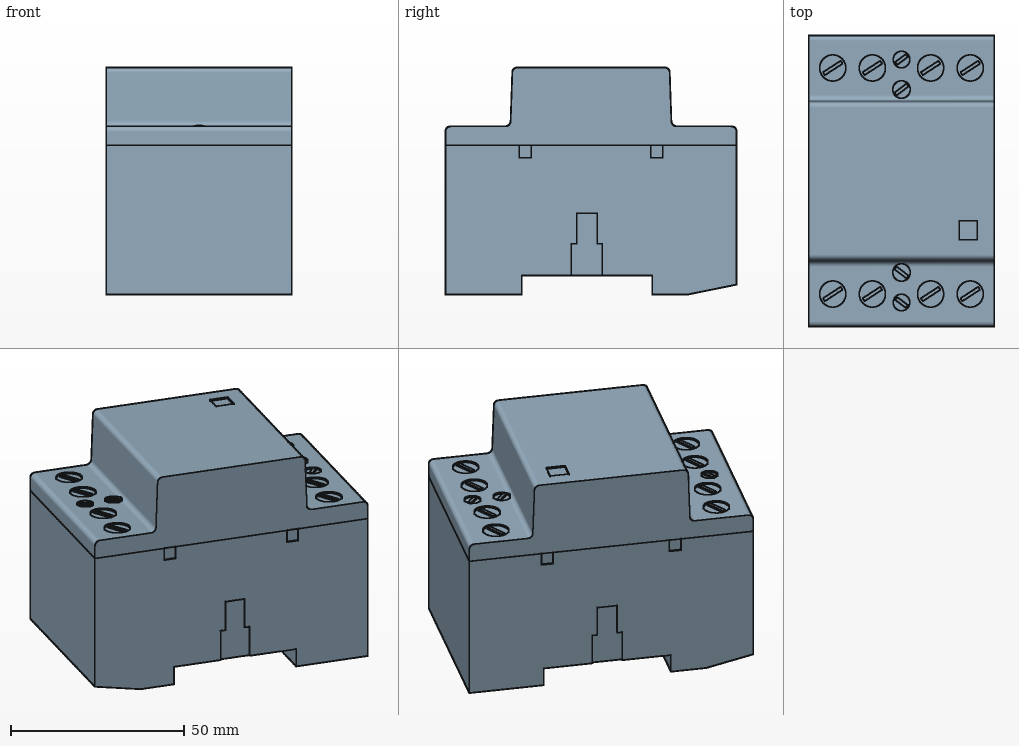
import cadquery as cq

WIDTH = 53.5
LENGTH = 84.0
HEIGHT = 65.5

SPLIT_Z = 43.1
SHOULDER_Z = 48.55
TOP_HALF_LENGTH = 22.7
NECK_HALF_LENGTH = 23.3
EDGE_RADIUS = 1.5

RAIL_DEPTH = 5.5
RAIL_WIDTH = 37.55
RAIL_CENTER_Y = -1.2
SLOPE_RISE = 2.85
SLOPE_LENGTH = 14.0

SIDE_RECESS_DEPTH = 0.5
NOTCH_WIDTH = 3.45
NOTCH_HEIGHT = 3.7
NOTCH_OFFSET_Y = 18.9
CLIP_FOOT_WIDTH = 8.9
CLIP_FOOT_HEIGHT = 9.15
CLIP_STEM_WIDTH = 5.9
CLIP_STEM_HEIGHT = 8.9

SCREW_RECESS = 0.5
BAR_WIDTH = 1.0
TERMINAL_BAR_ANGLE = 33.0
SMALL_BAR_ANGLE = 37.0

TERMINAL_DIAMETER = 7.6
TERMINAL_BAR_LENGTH = 6.05
TERMINAL_X = (8.4, 19.8)
TERMINAL_Y = 32.6

OUTER_SCREW_DIAMETER = 4.8
OUTER_SCREW_Y = 35.0
OUTER_BAR_LENGTH = 3.7
INNER_SCREW_DIAMETER = 5.0
INNER_SCREW_Y = 26.4
INNER_BAR_LENGTH = 4.4

WINDOW_X = 19.2
WINDOW_Y = -14.2
WINDOW_SIZE_X = 5.3
WINDOW_SIZE_Y = 5.55
WINDOW_DEPTH = 0.5


def extrude_across_width(outline):
    """Extrude an outline in the YZ plane over the full width."""
    return outline.close().extrude(WIDTH / 2, both=True)


def box_on_floor(size_x, size_y, size_z, x, y, z):
    """Box centred on x and y, standing on level z."""
    return cq.Workplane("XY").box(size_x, size_y, size_z, centered=(True, True, False)).translate((x, y, z))


def make_base():
    """Lower housing with the rail slot and shallow recesses in both side walls."""
    half = LENGTH / 2
    outline = (
        cq.Workplane("YZ")
        .moveTo(-half, 0)
        .lineTo(half - SLOPE_LENGTH, 0)
        .lineTo(half, SLOPE_RISE)
        .lineTo(half, SPLIT_Z)
        .lineTo(-half, SPLIT_Z)
    )
    base = extrude_across_width(outline)
    base = base.cut(box_on_floor(WIDTH, RAIL_WIDTH, RAIL_DEPTH, 0, RAIL_CENTER_Y, 0))

    for side in (-1, 1):
        x = side * (WIDTH - SIDE_RECESS_DEPTH) / 2
        for y in (-NOTCH_OFFSET_Y, NOTCH_OFFSET_Y):
            notch_z = SPLIT_Z - NOTCH_HEIGHT
            base = base.cut(box_on_floor(SIDE_RECESS_DEPTH, NOTCH_WIDTH, NOTCH_HEIGHT, x, y, notch_z))
        stem_z = RAIL_DEPTH + CLIP_FOOT_HEIGHT
        foot = box_on_floor(
            SIDE_RECESS_DEPTH, CLIP_FOOT_WIDTH, CLIP_FOOT_HEIGHT, x, RAIL_CENTER_Y, RAIL_DEPTH
        )
        stem = box_on_floor(
            SIDE_RECESS_DEPTH, CLIP_STEM_WIDTH, CLIP_STEM_HEIGHT, x, RAIL_CENTER_Y, stem_z
        )
        base = base.cut(foot).cut(stem)
    return base


def cut_screw(cover, x, y, diameter, bar_length, angle):
    """Sink a screw head into the shoulder of the cover, leaving its bar level with the shoulder."""
    head_z = SHOULDER_Z - SCREW_RECESS
    recess = cq.Workplane("XY").circle(diameter / 2).extrude(SCREW_RECESS + EDGE_RADIUS)
    bar = cq.Workplane("XY").rect(bar_length, BAR_WIDTH).extrude(SCREW_RECESS)
    bar = bar.rotate((0, 0, 0), (0, 0, 1), angle)
    return cover.cut(recess.cut(bar).translate((x, y, head_z)))


def make_cover():
    """Upper housing: a narrower raised block between two shoulders that carry the screws."""
    half = LENGTH / 2
    outline = (
        cq.Workplane("YZ")
        .moveTo(-half, SPLIT_Z)
        .lineTo(half, SPLIT_Z)
        .lineTo(half, SHOULDER_Z)
        .lineTo(NECK_HALF_LENGTH, SHOULDER_Z)
        .lineTo(TOP_HALF_LENGTH, HEIGHT)
        .lineTo(-TOP_HALF_LENGTH, HEIGHT)
        .lineTo(-NECK_HALF_LENGTH, SHOULDER_Z)
        .lineTo(-half, SHOULDER_Z)
    )
    above_split = cq.selectors.BoxSelector(
        (-WIDTH, -LENGTH, (SPLIT_Z + SHOULDER_Z) / 2), (WIDTH, LENGTH, HEIGHT + EDGE_RADIUS)
    )
    cover = extrude_across_width(outline).edges("|X").edges(above_split).fillet(EDGE_RADIUS)

    for side in (-1, 1):
        y = side * TERMINAL_Y
        for x in TERMINAL_X:
            for terminal_x in (-x, x):
                cover = cut_screw(
                    cover, terminal_x, y, TERMINAL_DIAMETER, TERMINAL_BAR_LENGTH, TERMINAL_BAR_ANGLE
                )
        angle = side * SMALL_BAR_ANGLE
        cover = cut_screw(cover, 0, side * OUTER_SCREW_Y, OUTER_SCREW_DIAMETER, OUTER_BAR_LENGTH, angle)
        cover = cut_screw(cover, 0, side * INNER_SCREW_Y, INNER_SCREW_DIAMETER, INNER_BAR_LENGTH, angle)

    window_z = HEIGHT - WINDOW_DEPTH
    return cover.cut(
        box_on_floor(WINDOW_SIZE_X, WINDOW_SIZE_Y, WINDOW_DEPTH, WINDOW_X, WINDOW_Y, window_z)
    )


base = make_base()
cover = make_cover()

result = cq.Compound.makeCompound([base.val(), cover.val()])